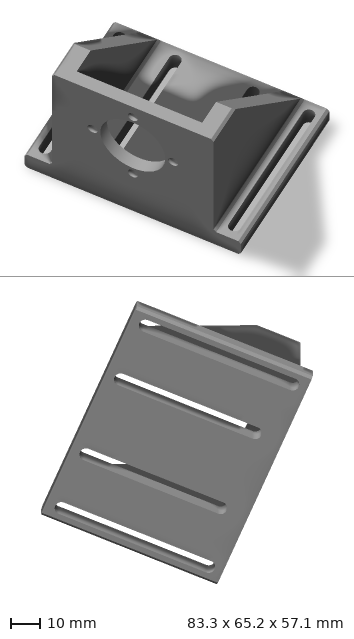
import cadquery as cq

base_width = 83.3
depth = 65.2
height = 57.1

base_thickness = 7.0
body_width = 62.3
side_wall = 7.0
front_wall = 4.9
edge_break = 1.0

bore_diameter = 25.0
bore_height = 36.0
screw_diameter = 3.8
screw_circle_radius = 15.5
screw_count = 4

slot_width = 4.5
slot_end_margin = 3.0
outer_slot_x = 36.5
inner_slot_x = 15.0
inner_slot_front = 7.75

pocket_width = body_width - 2 * side_wall


def bracket_body():
    """Inverted-T profile with chamfered corners, extruded from front to back."""
    half_base = base_width / 2
    half_body = body_width / 2
    right_half = [
        (0, 0),
        (half_base - edge_break, 0),
        (half_base, edge_break),
        (half_base, base_thickness - edge_break),
        (half_base - edge_break, base_thickness),
        (half_body + edge_break, base_thickness),
        (half_body, base_thickness + edge_break),
        (half_body, height - edge_break),
        (half_body - edge_break, height),
        (0, height),
    ]
    return cq.Workplane("XZ").polyline(right_half).close().extrude(-depth).mirror("YZ", union=True)


def slope_cutter():
    """Wedge above the 45 degree slope rising from the rear edge of the base."""
    rise = height - base_thickness
    return (
        cq.Workplane("YZ")
        .moveTo(depth, base_thickness)
        .lineTo(depth, height)
        .lineTo(depth - rise, height)
        .close()
        .extrude(base_width / 2, both=True)
    )


def pocket_cutter():
    """Channel open at the top and rear, with beveled lower side corners."""
    half_pocket = pocket_width / 2
    floor = base_thickness
    profile = [
        (-half_pocket + edge_break, floor),
        (half_pocket - edge_break, floor),
        (half_pocket, floor + edge_break),
        (half_pocket, height),
        (-half_pocket, height),
        (-half_pocket, floor + edge_break),
    ]
    return (
        cq.Workplane("XZ", origin=(0, front_wall, 0))
        .polyline(profile)
        .close()
        .extrude(front_wall - depth)
    )


def slot_pair_cutter(slot_x, front_end):
    """Two mirrored through slots from front_end to the rear margin."""
    rear_end = depth - slot_end_margin
    return (
        cq.Workplane("XY")
        .pushPoints([(side * slot_x, (front_end + rear_end) / 2) for side in (-1, 1)])
        .slot2D(rear_end - front_end, slot_width, 90)
        .extrude(base_thickness)
    )


def front_hole_cutter():
    """Bore and screw holes through the front wall."""
    front = cq.Workplane("XZ", origin=(0, 0, bore_height))
    bore = front.circle(bore_diameter / 2).extrude(-front_wall)
    screws = (
        front.polarArray(screw_circle_radius, 0, 360, screw_count)
        .circle(screw_diameter / 2)
        .extrude(-front_wall)
    )
    return bore.union(screws)


result = (
    bracket_body()
    .cut(slope_cutter())
    .cut(pocket_cutter())
    .cut(slot_pair_cutter(outer_slot_x, slot_end_margin))
    .cut(slot_pair_cutter(inner_slot_x, inner_slot_front))
    .cut(front_hole_cutter())
)